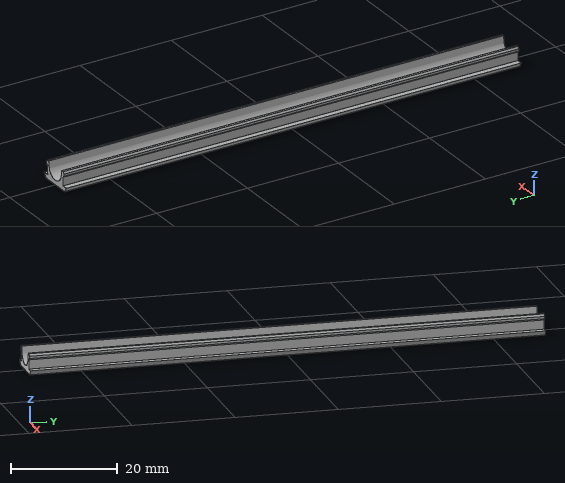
import cadquery as cq

length = 100.0
width = 8.0
height = 4.0

flange_height = 1.0
base_width = 6.8

wall_width = 5.6
lip_width = 6.3
lip_chamfer_width = 0.3
lip_chamfer_height = 0.4
lip_bottom = 2.8
lip_overhang = (lip_width - wall_width) / 2

opening_width = 4.7
crease_width = 4.2
crease_height = 2.5
floor_thickness = 1.0


def build_body():
    """Extrude the outer profile, symmetric about X = 0, along Y."""
    right_side = [
        (base_width / 2, 0),
        (width / 2, flange_height),
        (wall_width / 2, flange_height),
        (wall_width / 2, lip_bottom),
        (lip_width / 2, lip_bottom + lip_overhang),
        (lip_width / 2, height - lip_chamfer_height),
        (lip_width / 2 - lip_chamfer_width, height),
    ]
    left_side = [(-x, z) for x, z in reversed(right_side)]
    profile = cq.Workplane("XZ").polyline(right_side + left_side).close()
    return profile.extrude(length / 2, both=True)


def build_channel():
    """Channel cutter: leaning sides above a floor that is an arc."""
    top_x = opening_width / 2
    crease_x = crease_width / 2
    return (
        cq.Workplane("XZ")
        .moveTo(-top_x, height)
        .lineTo(-crease_x, crease_height)
        .threePointArc((0, floor_thickness), (crease_x, crease_height))
        .lineTo(top_x, height)
        .close()
        .extrude(length / 2, both=True)
    )


result = build_body().cut(build_channel())